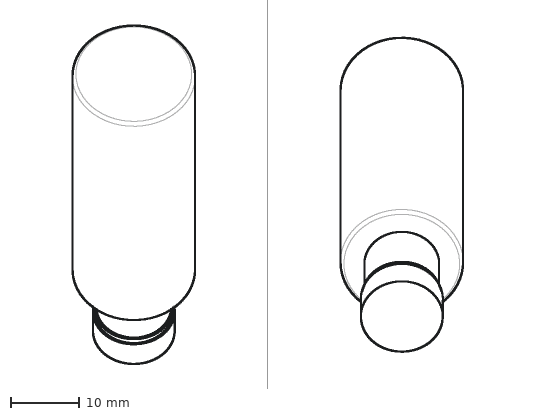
import cadquery as cq

total_length = 65.0
body_diameter = 18.0
body_length = 50.0
body_edge_radius = 0.5

neck_diameter = 11.0
head_diameter = 12.0
head_length = 5.0
shoulder_length = 1.0
shoulder_diameter = 11.6

body_bottom = total_length - body_length
shoulder_top = head_length + shoulder_length


def make_body():
    """Main cylinder with a small rounding around both ends."""
    body = cq.Workplane("XY").workplane(offset=body_bottom).circle(body_diameter / 2).extrude(body_length)
    return body.faces("<Z or >Z").edges().fillet(body_edge_radius)


def make_spigot():
    """Neck, stepped shoulder and head, revolved about the Z axis."""
    profile = (
        cq.Workplane("XZ")
        .lineTo(head_diameter / 2, 0)
        .lineTo(head_diameter / 2, head_length)
        .lineTo(shoulder_diameter / 2, head_length)
        .lineTo(shoulder_diameter / 2, shoulder_top)
        .lineTo(neck_diameter / 2, shoulder_top)
        .lineTo(neck_diameter / 2, body_bottom)
        .lineTo(0, body_bottom)
        .close()
    )
    return profile.revolve(360, (0, 0, 0), (0, 1, 0))


result = make_body().union(make_spigot())